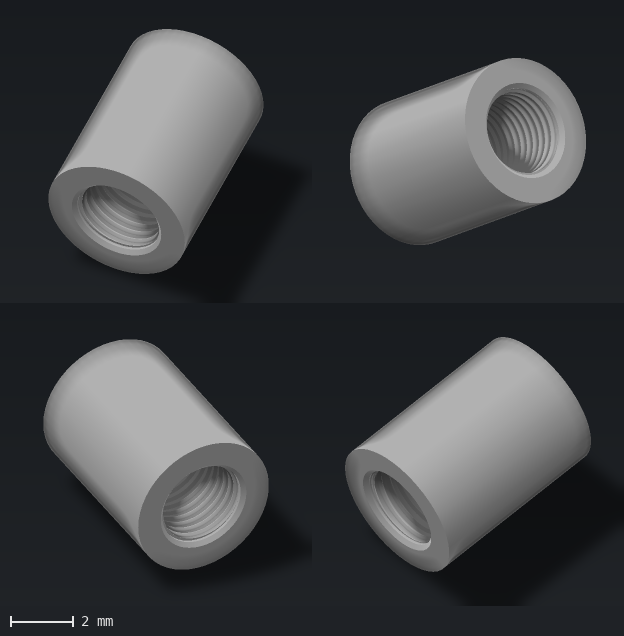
import cadquery as cq

length = 6.35
outer_diameter = 4.75

minor_diameter = 2.67
major_diameter = 2.84
pitch = 0.33
crest_flat = 0.025
root_flat = 0.13
start_angle = 30

mouth_diameter = 3.11
relief_diameter = major_diameter + 0.005
relief_length = 0.095
chamfer_depth = (mouth_diameter - relief_diameter) / 2

cutter_overlap = 0.02
runout = 2 * pitch
end_waste = 2 * runout


def long_tube():
    """Plain tube along Z, with waste below zero and above the finished length."""
    return (
        cq.Workplane("XY", origin=(0, 0, -end_waste))
        .circle(outer_diameter / 2)
        .circle(minor_diameter / 2)
        .extrude(length + 2 * end_waste)
    )


def thread_groove():
    """Trapezoidal groove swept along a helix through the whole bore."""
    minor_radius = minor_diameter / 2
    major_radius = major_diameter / 2
    flank_slope = (pitch - crest_flat - root_flat) / 2 / (major_radius - minor_radius)
    base_radius = minor_radius - cutter_overlap
    half_base = (pitch - crest_flat) / 2 + cutter_overlap * flank_slope
    half_root = root_flat / 2
    path = cq.Wire.makeHelix(pitch, length + 2 * runout, minor_radius)
    groove = (
        cq.Workplane("XZ")
        .polyline(
            [
                (base_radius, -half_base),
                (major_radius, -half_root),
                (major_radius, half_root),
                (base_radius, half_base),
            ]
        )
        .close()
        .sweep(cq.Workplane(path), isFrenet=True)
    )
    return groove.translate((0, 0, -runout)).rotate((0, 0, 0), (0, 0, 1), start_angle)


def end_cutter(face, inward):
    """Disc that trims the waste at one end, with the bore chamfer and relief on it."""
    mouth_radius = mouth_diameter / 2
    relief_radius = relief_diameter / 2
    chamfer_end = face + inward * chamfer_depth
    relief_end = chamfer_end + inward * relief_length
    waste_end = face - inward * 2 * end_waste
    return (
        cq.Workplane("XZ")
        .polyline(
            [
                (0, relief_end),
                (relief_radius, relief_end),
                (relief_radius, chamfer_end),
                (mouth_radius, face),
                (outer_diameter, face),
                (outer_diameter, waste_end),
                (0, waste_end),
            ]
        )
        .close()
        .revolve(360, (0, 0, 0), (0, 1, 0))
    )


threaded_sleeve = long_tube().cut(thread_groove())
for face, inward in ((0, 1), (length, -1)):
    threaded_sleeve = threaded_sleeve.cut(end_cutter(face, inward))

result = threaded_sleeve.translate((0, 0, -length / 2)).rotate((0, 0, 0), (1, 0, 0), -90)